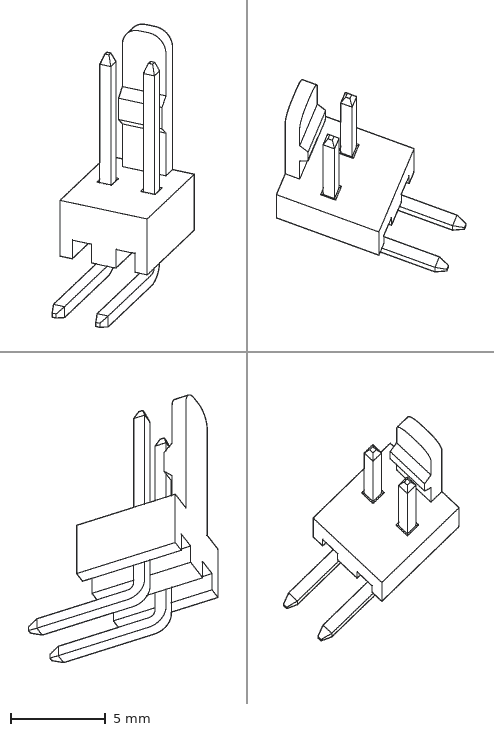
import cadquery as cq

total_depth = 9.2
total_height = 13.52

pitch = 2.54
pin_count = 2
housing_width = pin_count * pitch
housing_depth = 5.8
housing_bottom = 2.0
housing_top = 5.3
slot_width = 1.11
slot_height = 1.11
entry_depth = 0.1

latch_width = pitch
latch_thickness = 0.82
latch_corner_radius = 1.0
bump_projection = 0.47
bump_bottom = 7.81
bump_top = 10.02

pin_size = 0.65
pin_y = -2.6
pin_top = 12.78
bend_outer_radius = 1.0
bend_inner_radius = bend_outer_radius - pin_size
tip_size = 0.25
post_tip_length = 0.55
tail_tip_length = 0.6
pin_positions = [(i - (pin_count - 1) / 2) * pitch for i in range(pin_count)]


def make_latch():
    """Upright tongue with a rounded top and a bevelled catch on its front face."""
    tongue = (
        cq.Workplane("XY")
        .box(latch_width, latch_thickness, total_height - housing_top, centered=(True, False, False))
        .translate((0, -latch_thickness, housing_top))
        .edges("|Y and >Z")
        .fillet(latch_corner_radius)
    )
    bump_face = -latch_thickness - bump_projection
    bump = (
        cq.Workplane("YZ")
        .moveTo(-latch_thickness, bump_bottom)
        .lineTo(bump_face, bump_bottom + bump_projection)
        .lineTo(bump_face, bump_top - bump_projection)
        .lineTo(-latch_thickness, bump_top)
        .close()
        .extrude(latch_width / 2, both=True)
    )
    return tongue.union(bump)


def make_pin_hole(x):
    """Square through hole with a 45 degree flared entry at the top."""
    hole = (
        cq.Workplane("XY", origin=(x, pin_y, housing_bottom))
        .rect(pin_size, pin_size)
        .extrude(housing_top - housing_bottom)
    )
    entry_size = pin_size + 2 * entry_depth
    entry = (
        cq.Workplane("XY", origin=(x, pin_y, housing_top - entry_depth))
        .rect(pin_size, pin_size)
        .workplane(offset=entry_depth)
        .rect(entry_size, entry_size)
        .loft(ruled=True)
    )
    return hole.union(entry)


def make_slot(x):
    """Underside slot running the full depth of the housing."""
    return (
        cq.Workplane("XY")
        .box(slot_width, housing_depth, slot_height, centered=(True, False, False))
        .translate((x, -housing_depth, housing_bottom))
    )


def make_housing():
    """Block with its latch, one underside slot and one hole for each pin."""
    housing = (
        cq.Workplane("XY")
        .box(housing_width, housing_depth, housing_top - housing_bottom, centered=(True, False, False))
        .translate((0, -housing_depth, housing_bottom))
        .union(make_latch())
    )
    for x in pin_positions:
        housing = housing.cut(make_slot(x)).cut(make_pin_hole(x))
    return housing


def make_tip(base, length):
    """Tapered square point growing along the normal of the base plane."""
    return (
        cq.Workplane(base)
        .rect(pin_size, pin_size)
        .workplane(offset=length)
        .rect(tip_size, tip_size)
        .loft(ruled=True)
    )


def make_pin(x):
    """Square pin: upright post, right-angle bend, tail toward -Y, tapered at both ends."""
    half = pin_size / 2
    post_end = pin_top - post_tip_length
    tail_end = -total_depth + tail_tip_length
    back = pin_y + half
    front = pin_y - half
    bend_center_y = back - bend_outer_radius
    bar = (
        cq.Workplane("YZ", origin=(x, 0, 0))
        .moveTo(back, post_end)
        .lineTo(back, bend_outer_radius)
        .radiusArc((bend_center_y, 0), bend_outer_radius)
        .lineTo(tail_end, 0)
        .lineTo(tail_end, pin_size)
        .lineTo(bend_center_y, pin_size)
        .radiusArc((front, bend_outer_radius), -bend_inner_radius)
        .lineTo(front, post_end)
        .close()
        .extrude(half, both=True)
    )
    post_base = cq.Plane(origin=(x, pin_y, post_end), xDir=(1, 0, 0), normal=(0, 0, 1))
    tail_base = cq.Plane(origin=(x, tail_end, half), xDir=(1, 0, 0), normal=(0, -1, 0))
    return bar.union(make_tip(post_base, post_tip_length)).union(make_tip(tail_base, tail_tip_length))


housing = make_housing()
pins = [make_pin(x) for x in pin_positions]

result = cq.Compound.makeCompound([housing.solids().val(), *[pin.solids().val() for pin in pins]])